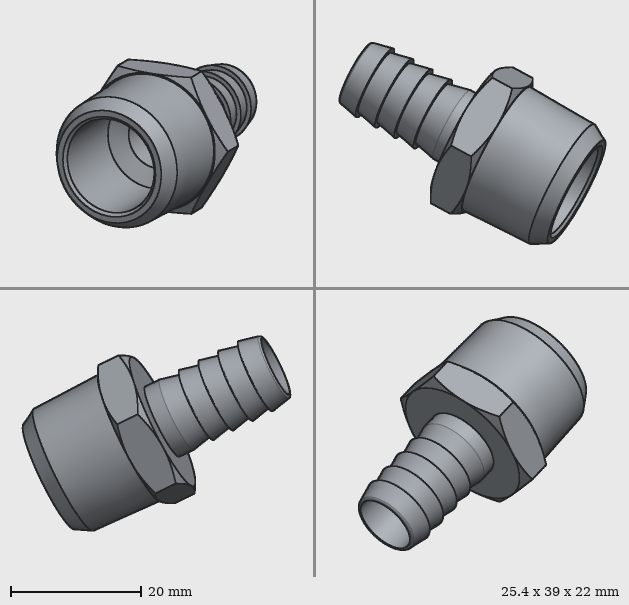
import cadquery as cq
import math

total_length = 39.0
hex_start = 14.0
hex_width = 5.5
hex_sides = 6
hex_across_flats = 22.0
hex_bevel_angle = 30.0

thread_tip_radius = 10.43
thread_taper = 1.0 / 32.0
thread_chamfer_length = 2.5
thread_chamfer_angle = 30.0

barb_count = 5
barb_pitch = 3.4
barb_crest_radius = 6.0
barb_root_radius = 5.25
tail_tip_rounding = 0.35

through_radius = 4.75
counterbore_radius = 7.5
counterbore_depth = 14.0
funnel_half_angle = 60.0
mouth_chamfer_width = 0.5
mouth_chamfer_angle = 45.0

hex_end = hex_start + hex_width
barbs_start = total_length - barb_count * barb_pitch


def revolve_about_y(profile):
    """Turn a closed (radius, Y) profile into a solid of revolution about Y."""
    return profile.close().revolve(360, (0, 0, 0), (0, 1, 0))


def make_thread_blank():
    """Plain tapered cone in place of the thread, chamfered at its free end."""
    chamfer_drop = thread_chamfer_length * math.tan(math.radians(thread_chamfer_angle))
    root_radius = thread_tip_radius + (hex_start - thread_chamfer_length) * thread_taper
    return revolve_about_y(
        cq.Workplane("ZY")
        .moveTo(0, 0)
        .lineTo(thread_tip_radius - chamfer_drop, 0)
        .lineTo(thread_tip_radius, thread_chamfer_length)
        .lineTo(root_radius, hex_start)
        .lineTo(0, hex_start)
    )


def make_hexagon():
    """Hexagon with corners on the X axis, its corners bevelled at both ends."""
    flat_radius = hex_across_flats / 2
    corner_radius = flat_radius / math.cos(math.radians(180 / hex_sides))
    bevel_depth = (corner_radius - flat_radius) * math.tan(math.radians(hex_bevel_angle))
    prism = (
        cq.Workplane("XZ", origin=(0, hex_start, 0))
        .polygon(hex_sides, 2 * corner_radius)
        .extrude(-hex_width)
    )
    envelope = revolve_about_y(
        cq.Workplane("ZY")
        .moveTo(0, hex_start)
        .lineTo(flat_radius, hex_start)
        .lineTo(corner_radius, hex_start + bevel_depth)
        .lineTo(corner_radius, hex_end - bevel_depth)
        .lineTo(flat_radius, hex_end)
        .lineTo(0, hex_end)
    )
    return prism.intersect(envelope)


def make_hose_tail():
    """Cylindrical collar followed by barbs that narrow towards the free end."""
    profile = (
        cq.Workplane("ZY")
        .moveTo(0, hex_end)
        .lineTo(barb_crest_radius, hex_end)
        .lineTo(barb_crest_radius, barbs_start)
    )
    for barb in range(1, barb_count):
        barb_end = barbs_start + barb * barb_pitch
        profile = profile.lineTo(barb_root_radius, barb_end).lineTo(barb_crest_radius, barb_end)
    profile = profile.lineTo(barb_root_radius, total_length).lineTo(0, total_length)
    return revolve_about_y(profile).faces(">Y").edges().fillet(tail_tip_rounding)


def make_bore():
    """Chamfered counterbore, a funnel, then a straight hole through the tail."""
    chamfer_depth = mouth_chamfer_width / math.tan(math.radians(mouth_chamfer_angle))
    funnel_length = (counterbore_radius - through_radius) / math.tan(math.radians(funnel_half_angle))
    return revolve_about_y(
        cq.Workplane("ZY")
        .moveTo(0, 0)
        .lineTo(counterbore_radius + mouth_chamfer_width, 0)
        .lineTo(counterbore_radius, chamfer_depth)
        .lineTo(counterbore_radius, counterbore_depth)
        .lineTo(through_radius, counterbore_depth + funnel_length)
        .lineTo(through_radius, total_length)
        .lineTo(0, total_length)
    )


result = make_thread_blank().union(make_hexagon()).union(make_hose_tail()).cut(make_bore())